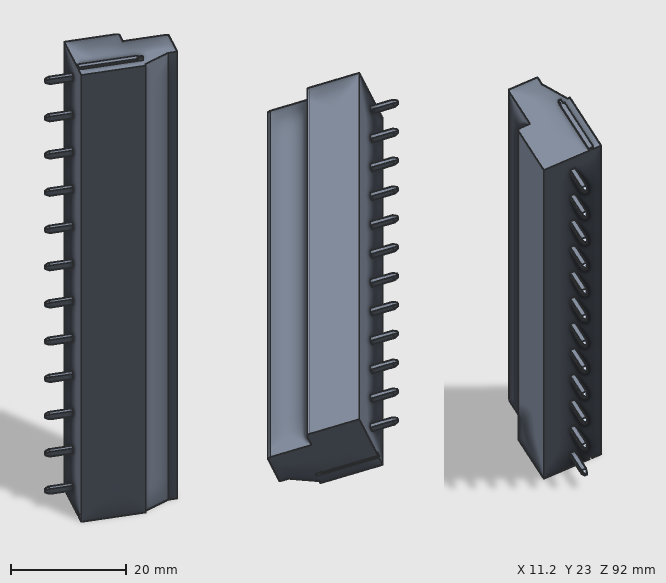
import cadquery as cq

width = 11.2
length = 92.0
overall_depth = 23.0

pole_count = 12
rib_height = 0.6
body_length = length - rib_height
pitch = body_length / pole_count

pin_length = 5.0
pin_width = 0.9
pin_height = 1.0
tip_length = 0.7
tip_scale = 0.5

body_depth = overall_depth - pin_length
left_x = -width / 2
right_x = width / 2
step_width = 2.5
step_y = 9.85
step_radius = 0.55
crown_width = 5.8
crown_chamfer_x = 0.2
crown_chamfer_y = 0.55
crown_side_y = body_depth - 1.7
shoulder_y = 11.6
shoulder_width = 0.5

dovetail_x = 3.6
dovetail_outer_width = 1.0
dovetail_neck_width = 0.5
dovetail_end_y = 10.8
end_undercut = 0.4
tongue_end_y = 11.6


def make_housing():
    crown_left = left_x + step_width
    outline = [
        (left_x, 0),
        (right_x, 0),
        (right_x, shoulder_y),
        (right_x - shoulder_width, shoulder_y),
        (crown_left + crown_width, crown_side_y),
        (crown_left + crown_width, body_depth),
        (crown_left + crown_chamfer_x, body_depth),
        (crown_left, body_depth - crown_chamfer_y),
        (crown_left, step_y),
        (left_x + step_radius, step_y),
    ]
    return (
        cq.Workplane("XY")
        .polyline(outline)
        .radiusArc((left_x, step_y - step_radius), -step_radius)
        .close()
        .extrude(body_length)
    )


def make_dovetail(base_z):
    """Bar along Y, narrow at base_z and wide at its top, with a straight tongue at its inner end."""
    neck = dovetail_neck_width / 2
    outer = dovetail_outer_width / 2
    top_z = base_z + rib_height
    section = [
        (dovetail_x - neck, base_z),
        (dovetail_x + neck, base_z),
        (dovetail_x + outer, top_z),
        (dovetail_x - outer, top_z),
    ]
    bar = cq.Workplane("XZ").polyline(section).close().extrude(-dovetail_end_y)
    tongue = (
        cq.Workplane("XY", origin=(dovetail_x, 0, base_z))
        .rect(dovetail_neck_width, tongue_end_y)
        .extrude(rib_height)
        .translate((0, tongue_end_y / 2, 0))
    )
    end_slope = [
        (dovetail_end_y - end_undercut, base_z),
        (dovetail_end_y, base_z),
        (dovetail_end_y, top_z),
    ]
    undercut = (
        cq.Workplane("YZ", origin=(dovetail_x, 0, 0))
        .polyline(end_slope)
        .close()
        .extrude(outer, both=True)
    )
    return bar.cut(undercut).union(tongue)


def make_pin(z):
    shank_length = pin_length - tip_length
    shank = cq.Workplane("XZ", origin=(0, 0, z)).rect(pin_width, pin_height).extrude(shank_length)
    tip = (
        cq.Workplane("XZ", origin=(0, -shank_length, z))
        .rect(pin_width, pin_height)
        .workplane(offset=tip_length)
        .rect(pin_width * tip_scale, pin_height * tip_scale)
        .loft(ruled=True)
    )
    return shank.union(tip)


result = make_housing().cut(make_dovetail(0)).union(make_dovetail(body_length))
for pole in range(pole_count):
    result = result.union(make_pin((pole + 0.5) * pitch))